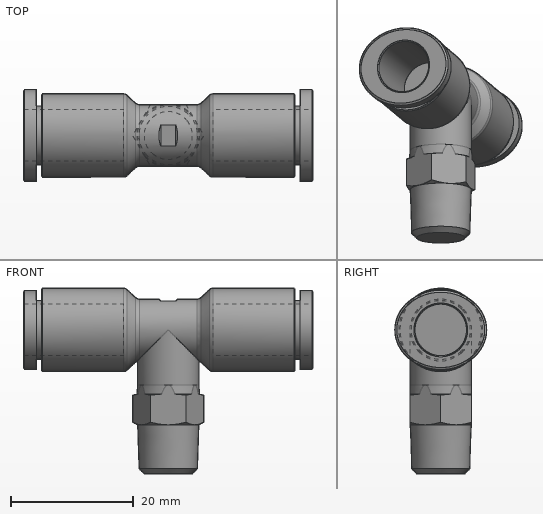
import cadquery as cq
import math


overall_length = 47.2
overall_height = 30.3
half_length = overall_length / 2
socket_diameter = 13.65
socket_radius = socket_diameter / 2
socket_outer_x = 20.65
socket_rim_chamfer = 0.2
waist_diameter = 10.05
waist_radius = waist_diameter / 2
shoulder_outer_x = 7.0
shoulder_inner_x = 5.05
shoulder_outer_fillet = 0.75
shoulder_inner_fillet = 1.0
selection_margin = 0.1

collar_thickness = 2.1
collar_half_width = 7.5
collar_half_height = 6.45
collar_chamfer_depth = 0.15
collar_chamfer_width = 0.35
neck_radius = 4.8

bore_radius = 4.2
bore_lip = 0.2
bore_floor_x = 7.3

hex_across_flats = waist_diameter
hex_corner_radius = hex_across_flats / math.sqrt(3)
flare_top_z = -8.95
flare_bottom_z = -10.5
flare_bottom_radius = 5.15
hex_top_corner_z = -10.65
hex_bottom_corner_z = -15.05
hex_bottom_z = -15.5
thread_top_radius = 5.0
thread_bottom_radius = 4.75
thread_end_chamfer = 0.85
stem_bottom_z = socket_radius - overall_height

recess_floor_z = 4.7
recess_floor_length = 2.4
recess_top_length = 3.05


def cylinder_along_x(radius, start_x, end_x):
    return cq.Workplane("YZ", origin=(start_x, 0, 0)).circle(radius).extrude(end_x - start_x)


def revolve_about_z(profile):
    """Revolve (radius, z) points, closed along the Z axis."""
    points = [(0, profile[0][1])] + profile + [(0, profile[-1][1])]
    return cq.Workplane("XZ").polyline(points).close().revolve(360, (0, 0, 0), (0, 1, 0))


def socket_profile():
    """Upper half of both sockets and the waist, sharp at the shoulders."""
    rim_x = socket_outer_x - socket_rim_chamfer
    rim_radius = socket_radius - socket_rim_chamfer
    right_half = [
        (shoulder_inner_x, waist_radius),
        (shoulder_outer_x, socket_radius),
        (rim_x, socket_radius),
        (socket_outer_x, rim_radius),
        (socket_outer_x, 0),
    ]
    left_half = [(-x, radius) for x, radius in reversed(right_half)]
    return cq.Workplane("XZ").polyline(left_half + right_half).close()


def shoulder_edges(x, radius):
    """Selector for the matching circular edges on the two shoulders."""
    reach = radius + selection_margin

    def edges_at(center_x):
        low_corner = (center_x - selection_margin, -reach, -reach)
        high_corner = (center_x + selection_margin, reach, reach)
        return cq.selectors.BoxSelector(low_corner, high_corner, boundingbox=True)

    return edges_at(x) + edges_at(-x)


def make_socket_body():
    body = socket_profile().revolve(360, (0, 0, 0), (1, 0, 0))
    body = body.edges(shoulder_edges(shoulder_outer_x, socket_radius)).fillet(shoulder_outer_fillet)
    return body.edges(shoulder_edges(shoulder_inner_x, waist_radius)).fillet(shoulder_inner_fillet)


def make_collar():
    """Oval flange and neck of the +X socket."""
    flange_x = half_length - collar_thickness
    flange = (
        cq.Workplane("YZ", origin=(flange_x, 0, 0))
        .ellipse(collar_half_width, collar_half_height)
        .extrude(collar_thickness)
        .faces(">X").edges().chamfer(collar_chamfer_depth, collar_chamfer_width)
    )
    return flange.union(cylinder_along_x(neck_radius, shoulder_outer_x, half_length))


def make_bore():
    """Blind tube bore of the +X socket with a chamfered mouth."""
    mouth_radius = bore_radius + bore_lip
    profile = [
        (bore_floor_x, 0),
        (bore_floor_x, bore_radius),
        (half_length - bore_lip, bore_radius),
        (half_length, mouth_radius),
        (half_length, 0),
    ]
    return cq.Workplane("XZ").polyline(profile).close().revolve(360, (0, 0, 0), (1, 0, 0))


def make_hex():
    """Wrench hexagon with corners on X, its ends turned to a conical shape."""
    hexagon = (
        cq.Workplane("XY", origin=(0, 0, hex_bottom_z))
        .polygon(6, 2 * hex_corner_radius)
        .extrude(flare_top_z - hex_bottom_z)
    )
    envelope = revolve_about_z([
        (hex_across_flats / 2, flare_top_z),
        (flare_bottom_radius, flare_bottom_z),
        (hex_corner_radius, hex_top_corner_z),
        (hex_corner_radius, hex_bottom_corner_z),
        (hex_across_flats / 2, hex_bottom_z),
    ])
    return hexagon.intersect(envelope)


def make_stem():
    shank = cq.Workplane("XY").circle(waist_radius).extrude(flare_top_z)
    thread = revolve_about_z([
        (thread_top_radius, hex_bottom_z),
        (thread_bottom_radius, stem_bottom_z + thread_end_chamfer),
        (thread_bottom_radius - thread_end_chamfer, stem_bottom_z),
    ])
    return shank.union(make_hex()).union(thread)


def make_recess():
    """Flat-bottomed cut across the top of the waist with sloping ends."""
    profile = [
        (-recess_floor_length / 2, recess_floor_z),
        (recess_floor_length / 2, recess_floor_z),
        (recess_top_length / 2, waist_radius),
        (-recess_top_length / 2, waist_radius),
    ]
    return cq.Workplane("XZ").polyline(profile).close().extrude(waist_radius, both=True)


result = make_socket_body().union(make_stem()).cut(make_recess())
collar = make_collar()
bore = make_bore()
for socket_collar in (collar, collar.mirror("YZ")):
    result = result.union(socket_collar)
for socket_bore in (bore, bore.mirror("YZ")):
    result = result.cut(socket_bore)